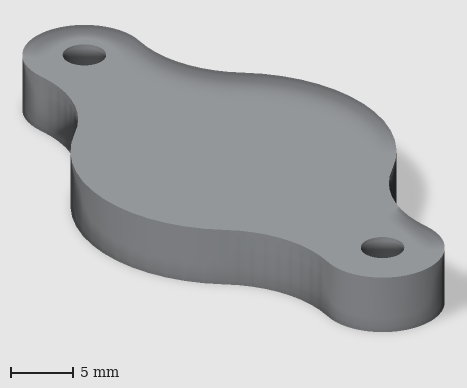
import cadquery as cq
import math

THICKNESS = 5.0
DISC_RADIUS = 13.1
EAR_RADIUS = 5.0
EAR_OFFSET = 20.0
NECK_RADIUS = 10.0
HOLE_DIAMETER = 3.5

DISC_TO_NECK = DISC_RADIUS + NECK_RADIUS
EAR_TO_NECK = EAR_RADIUS + NECK_RADIUS
NECK_X = (DISC_TO_NECK**2 - EAR_TO_NECK**2 + EAR_OFFSET**2) / (2 * EAR_OFFSET)
NECK_Y = math.sqrt(DISC_TO_NECK**2 - NECK_X**2)

DISC_TANGENT_X = NECK_X * DISC_RADIUS / DISC_TO_NECK
DISC_TANGENT_Y = NECK_Y * DISC_RADIUS / DISC_TO_NECK
EAR_TANGENT_X = EAR_OFFSET + (NECK_X - EAR_OFFSET) * EAR_RADIUS / EAR_TO_NECK
EAR_TANGENT_Y = NECK_Y * EAR_RADIUS / EAR_TO_NECK


def neck_midpoint():
    """Middle of the neck arc in the +X, +Y quadrant."""
    chord_x = (DISC_TANGENT_X + EAR_TANGENT_X) / 2 - NECK_X
    chord_y = (DISC_TANGENT_Y + EAR_TANGENT_Y) / 2 - NECK_Y
    reach = NECK_RADIUS / math.hypot(chord_x, chord_y)
    return NECK_X + chord_x * reach, NECK_Y + chord_y * reach


def make_plate():
    """Central disc blended into two round ears by four concave necks."""
    mid_x, mid_y = neck_midpoint()
    ear_tip_x = EAR_OFFSET + EAR_RADIUS
    return (
        cq.Workplane("XY")
        .moveTo(-DISC_TANGENT_X, DISC_TANGENT_Y)
        .threePointArc((0, DISC_RADIUS), (DISC_TANGENT_X, DISC_TANGENT_Y))
        .threePointArc((mid_x, mid_y), (EAR_TANGENT_X, EAR_TANGENT_Y))
        .threePointArc((ear_tip_x, 0), (EAR_TANGENT_X, -EAR_TANGENT_Y))
        .threePointArc((mid_x, -mid_y), (DISC_TANGENT_X, -DISC_TANGENT_Y))
        .threePointArc((0, -DISC_RADIUS), (-DISC_TANGENT_X, -DISC_TANGENT_Y))
        .threePointArc((-mid_x, -mid_y), (-EAR_TANGENT_X, -EAR_TANGENT_Y))
        .threePointArc((-ear_tip_x, 0), (-EAR_TANGENT_X, EAR_TANGENT_Y))
        .threePointArc((-mid_x, mid_y), (-DISC_TANGENT_X, DISC_TANGENT_Y))
        .close()
        .extrude(THICKNESS)
    )


def drill_ear_holes(plate):
    """Through hole at the centre of each ear."""
    return (
        plate.faces(">Z")
        .workplane(origin=(0, 0, THICKNESS))
        .pushPoints([(-EAR_OFFSET, 0), (EAR_OFFSET, 0)])
        .hole(HOLE_DIAMETER)
    )


result = drill_ear_holes(make_plate())